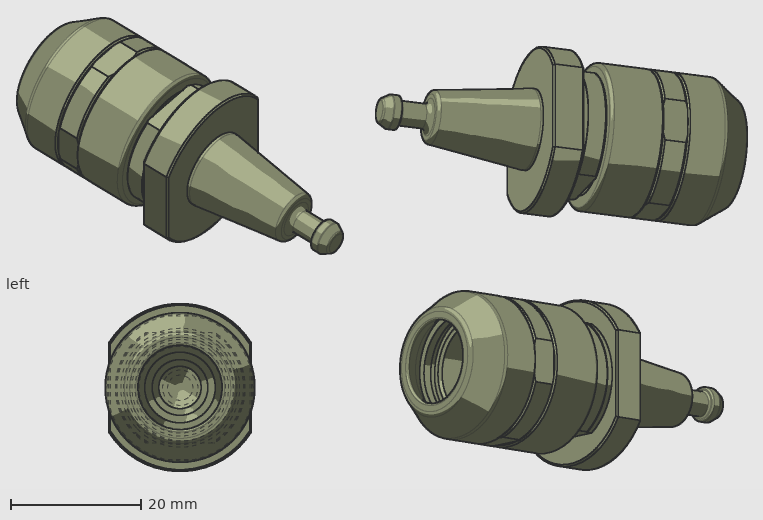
import cadquery as cq
import math

OVERALL_LENGTH = 57.1

NUT_END = 23.5
NUT_RADIUS = 23.0 / 2
NOSE_RADIUS = 8.3
NOSE_LENGTH = 4.6
NOSE_FACE_FILLET = 0.95
NOSE_REAR_FILLET = 0.85
NUT_END_FILLET = 0.55

V_GROOVE_CENTERS = (10.8, 14.75)
V_GROOVE_DEPTH = 0.3
BELT_FLAT_DISTANCE = 22.0 / 2
BELT_FLAT_COUNT = 4

MOUTH_RADIUS = 6.35
MOUTH_FILLET = 0.35
MOUTH_END = 2.3
MOUTH_END_RADIUS = 7.15
RECESS_RADIUS = 8.75
RECESS_END = 4.55
RIDGE_END = 5.95
RIDGE_OFFSET = 0.3
SEAT_RADIUS = 8.2

SHANK_START = 7.15
SHANK_RADIUS = 9.15

COLLAR_RADIUS = 10.0
COLLAR_CHAMFER = 0.3
COLLAR_STEP = 26.55
COLLAR_REAR_RADIUS = 9.9
COLLAR_FLAT_DISTANCE = 8.5

FLANGE_START = 27.6
FLANGE_END = 32.6
FLANGE_RADIUS = 12.9
FLANGE_FLAT_DISTANCE = 10.95
FLANGE_CHAMFER = 0.3

TAPER_START = 33.1
TAPER_END = 49.1
TAPER_BIG_RADIUS = 6.35
TAPER_SMALL_RADIUS = 4.15
TAPER_END_FILLET = 0.7

STUD_RADIUS = 1.95
STUD_ROOT_FILLET = 0.95
STUD_HEAD_START = 54.2
STUD_HEAD_RADIUS = 5.4 / 2
STUD_HEAD_FILLET = 0.3
STUD_CONE_START = 55.65
STUD_END_RADIUS = 1.9
STUD_END_FILLET = 0.45

COLLET_MOUTH_RADIUS = 6.95
COLLET_MOUTH_CHAMFER = 0.45
COLLET_HALF_ANGLE = math.radians(8)
COLLET_END_RADIUS = 5.4
BORE_STEP_RADIUS = 4.3
BORE_END_RADIUS = 3.25
BORE_STEP_LENGTH = 2.3
BORE_HALF_ANGLE = math.radians(30)
DRILL_HALF_ANGLE = math.radians(59)


def revolve_about_x(points):
    """Turn a closed (x, radius) outline about the X axis."""
    return cq.Workplane("XZ").polyline(points).close().revolve(360, (0, 0, 0), (1, 0, 0))


def circle_at(body, x, radius):
    """Select the circular edge of the given radius that lies at x."""
    tolerance = 0.005
    return body.edges("%CIRCLE").filter(
        lambda edge: abs(edge.Center().x - x) < tolerance and abs(edge.radius() - radius) < tolerance
    )


def make_nut_blank():
    """Make the full nut without its belt flats; the ridge has a centred bore at first."""
    v_grooves = []
    for center in V_GROOVE_CENTERS:
        v_grooves += [
            (center - V_GROOVE_DEPTH, NUT_RADIUS),
            (center, NUT_RADIUS - V_GROOVE_DEPTH),
            (center + V_GROOVE_DEPTH, NUT_RADIUS),
        ]
    ridge_inner_radius = SEAT_RADIUS - 2 * RIDGE_OFFSET
    blank = revolve_about_x([
        (0, MOUTH_RADIUS),
        (0, NOSE_RADIUS),
        (NOSE_LENGTH, NUT_RADIUS),
        *v_grooves,
        (NUT_END, NUT_RADIUS),
        (NUT_END, SHANK_RADIUS),
        (SHANK_START, SHANK_RADIUS),
        (SHANK_START, SEAT_RADIUS),
        (RIDGE_END, SEAT_RADIUS),
        (RIDGE_END, ridge_inner_radius),
        (RECESS_END, ridge_inner_radius),
        (RECESS_END, RECESS_RADIUS),
        (MOUTH_END, MOUTH_END_RADIUS),
    ])
    for x, radius, size in [
        (0, MOUTH_RADIUS, MOUTH_FILLET),
        (0, NOSE_RADIUS, NOSE_FACE_FILLET),
        (NOSE_LENGTH, NUT_RADIUS, NOSE_REAR_FILLET),
        (NUT_END, NUT_RADIUS, NUT_END_FILLET),
    ]:
        blank = circle_at(blank, x, radius).fillet(size)
    return blank


def cut_ridge_bore(nut):
    """Bore the ridge off centre, toward -Y and -Z, so that it meets the seat bore on that side."""
    shift = RIDGE_OFFSET * math.sqrt(0.5)
    bore = (
        cq.Workplane("YZ", origin=(RECESS_END, 0, 0))
        .center(-shift, -shift)
        .circle(SEAT_RADIUS - RIDGE_OFFSET)
        .extrude(RIDGE_END - RECESS_END)
    )
    return nut.cut(bore)


def cut_belt_flats(nut):
    """Cut the wrench flats around the belt."""
    belt_start, belt_end = V_GROOVE_CENTERS
    cutter = (
        cq.Workplane("XY", origin=(belt_start, 0, BELT_FLAT_DISTANCE))
        .box(belt_end - belt_start, 2 * NUT_RADIUS, NUT_RADIUS, centered=(False, True, False))
    )
    for index in range(BELT_FLAT_COUNT):
        nut = nut.cut(cutter.rotate((0, 0, 0), (1, 0, 0), index * 360 / BELT_FLAT_COUNT))
    return nut


def make_nut():
    return cut_belt_flats(cut_ridge_bore(make_nut_blank()))


def make_collar():
    collar = revolve_about_x([
        (NUT_END, 0),
        (NUT_END, COLLAR_RADIUS),
        (COLLAR_STEP, COLLAR_RADIUS),
        (COLLAR_STEP, COLLAR_REAR_RADIUS),
        (FLANGE_START, COLLAR_REAR_RADIUS),
        (FLANGE_START, 0),
    ])
    collar = circle_at(collar, NUT_END, COLLAR_RADIUS).chamfer(COLLAR_CHAMFER)
    slab = cq.Workplane("XY").box(FLANGE_START, 2 * COLLAR_RADIUS, 2 * COLLAR_FLAT_DISTANCE,
                                  centered=(False, True, True))
    return collar.intersect(slab)


def make_flange():
    flange = cq.Workplane("YZ").workplane(offset=FLANGE_START).circle(FLANGE_RADIUS).extrude(
        FLANGE_END - FLANGE_START)
    slab = cq.Workplane("XY").box(FLANGE_END, 2 * FLANGE_FLAT_DISTANCE, 2 * FLANGE_RADIUS,
                                  centered=(False, True, True))
    return flange.intersect(slab).faces("<X or >X").edges().chamfer(FLANGE_CHAMFER)


def make_taper_and_stud():
    tail = revolve_about_x([
        (FLANGE_END, 0),
        (FLANGE_END, TAPER_BIG_RADIUS),
        (TAPER_START, TAPER_BIG_RADIUS),
        (TAPER_END, TAPER_SMALL_RADIUS),
        (TAPER_END, STUD_RADIUS),
        (STUD_HEAD_START, STUD_RADIUS),
        (STUD_HEAD_START, STUD_HEAD_RADIUS),
        (STUD_CONE_START, STUD_HEAD_RADIUS),
        (OVERALL_LENGTH, STUD_END_RADIUS),
        (OVERALL_LENGTH, 0),
    ])
    for x, radius, size in [
        (TAPER_END, TAPER_SMALL_RADIUS, TAPER_END_FILLET),
        (TAPER_END, STUD_RADIUS, STUD_ROOT_FILLET),
        (STUD_HEAD_START, STUD_RADIUS, STUD_HEAD_FILLET),
        (STUD_HEAD_START, STUD_HEAD_RADIUS, STUD_HEAD_FILLET),
        (STUD_CONE_START, STUD_HEAD_RADIUS, STUD_HEAD_FILLET),
        (OVERALL_LENGTH, STUD_END_RADIUS, STUD_END_FILLET),
    ]:
        tail = circle_at(tail, x, radius).fillet(size)
    return tail


def make_collet_bore():
    """Make the space cut from the holder: collet taper, two coned steps and a drill point."""
    taper_start = SHANK_START + COLLET_MOUTH_CHAMFER
    collet_end = taper_start + (COLLET_MOUTH_RADIUS - COLLET_END_RADIUS) / math.tan(COLLET_HALF_ANGLE)
    step_start = collet_end + (COLLET_END_RADIUS - BORE_STEP_RADIUS) / math.tan(BORE_HALF_ANGLE)
    step_end = step_start + BORE_STEP_LENGTH
    bore_start = step_end + (BORE_STEP_RADIUS - BORE_END_RADIUS) / math.tan(BORE_HALF_ANGLE)
    bore_end = bore_start + BORE_STEP_LENGTH
    drill_tip = bore_end + BORE_END_RADIUS / math.tan(DRILL_HALF_ANGLE)
    return revolve_about_x([
        (SHANK_START, 0),
        (SHANK_START, COLLET_MOUTH_RADIUS + COLLET_MOUTH_CHAMFER),
        (taper_start, COLLET_MOUTH_RADIUS),
        (collet_end, COLLET_END_RADIUS),
        (step_start, BORE_STEP_RADIUS),
        (step_end, BORE_STEP_RADIUS),
        (bore_start, BORE_END_RADIUS),
        (bore_end, BORE_END_RADIUS),
        (drill_tip, 0),
    ])


def make_holder():
    holder = revolve_about_x([
        (SHANK_START, 0),
        (SHANK_START, SHANK_RADIUS),
        (NUT_END, SHANK_RADIUS),
        (NUT_END, 0),
    ])
    holder = holder.union(make_collar()).union(make_flange()).union(make_taper_and_stud())
    return holder.cut(make_collet_bore())


nut = make_nut()
holder = make_holder()

result = cq.Compound.makeCompound([nut.val(), holder.val()])